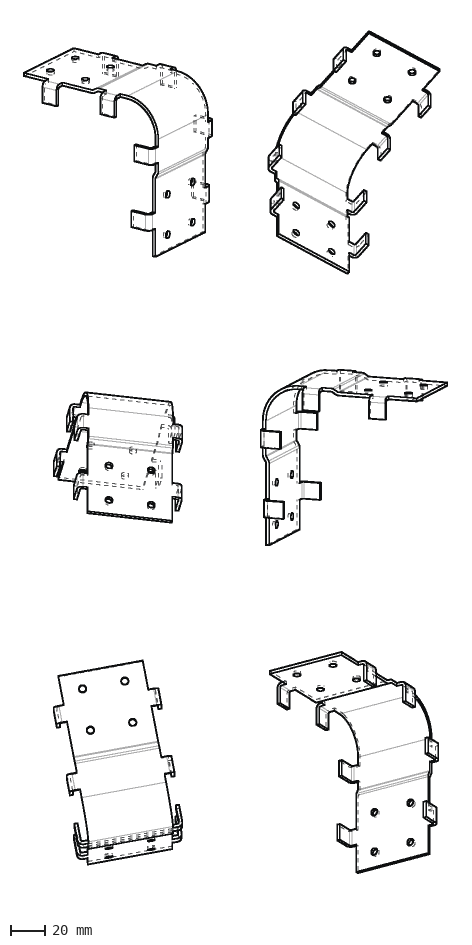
import cadquery as cq
import math

OVERALL = 95.83
SHEET = 2.0
PLATE_WIDTH = 50.0
INNER_BEND = 1.0
OUTER_BEND = INNER_BEND + SHEET

CORNER_INNER = 20.0
CORNER_OUTER = CORNER_INNER + SHEET

FLAT_LENGTH = 20.6
JOGGLE_STEP = 2.0
JOGGLE_ANGLE = math.radians(30)

TAB_LENGTH = 10.0
TAB_DEPTH = 13.0
TAB_SPAN = 62.0

HOLE_DIAMETER = 4.2
HOLE_SPACING = 25.0
HOLE_END_MARGIN = 10.0

LEG_END_X = CORNER_OUTER - OVERALL
LOWER_TOP = CORNER_OUTER - JOGGLE_STEP
PATTERN_X = LEG_END_X + HOLE_END_MARGIN + HOLE_SPACING / 2
UPPER_TAB_X = -10.0


def leg_plate():
    """Joggled sheet running from the corner bend toward -X."""
    bends_run = (INNER_BEND + OUTER_BEND) * math.sin(JOGGLE_ANGLE)
    bends_drop = (INNER_BEND + OUTER_BEND) * (1 - math.cos(JOGGLE_ANGLE))
    ramp_run = (JOGGLE_STEP - bends_drop) / math.tan(JOGGLE_ANGLE)
    joggle_start = -FLAT_LENGTH
    joggle_end = joggle_start - bends_run - ramp_run

    def after_upper_bend(radius, face_z):
        return (
            joggle_start - radius * math.sin(JOGGLE_ANGLE),
            face_z - radius * (1 - math.cos(JOGGLE_ANGLE)),
        )

    def before_lower_bend(radius, face_z):
        return (
            joggle_end + radius * math.sin(JOGGLE_ANGLE),
            face_z + radius * (1 - math.cos(JOGGLE_ANGLE)),
        )

    lower_bottom = LOWER_TOP - SHEET
    return (
        cq.Workplane("XZ")
        .moveTo(0, CORNER_OUTER)
        .lineTo(joggle_start, CORNER_OUTER)
        .tangentArcPoint(after_upper_bend(OUTER_BEND, CORNER_OUTER), relative=False)
        .lineTo(*before_lower_bend(INNER_BEND, LOWER_TOP))
        .tangentArcPoint((joggle_end, LOWER_TOP), relative=False)
        .lineTo(LEG_END_X, LOWER_TOP)
        .lineTo(LEG_END_X, lower_bottom)
        .lineTo(joggle_end, lower_bottom)
        .tangentArcPoint(before_lower_bend(OUTER_BEND, lower_bottom), relative=False)
        .lineTo(*after_upper_bend(INNER_BEND, CORNER_INNER))
        .tangentArcPoint((joggle_start, CORNER_INNER), relative=False)
        .lineTo(0, CORNER_INNER)
        .close()
        .extrude(PLATE_WIDTH / 2, both=True)
    )


def tab_pair(center_x, top_z):
    """Channel across the plate whose two flanges are a pair of opposite tabs."""
    standing_centered = (True, True, False)
    channel = (
        cq.Workplane("XY")
        .box(TAB_LENGTH, TAB_SPAN, TAB_DEPTH, centered=standing_centered)
        .edges("|X and >Z")
        .fillet(OUTER_BEND)
    )
    hollow = (
        cq.Workplane("XY")
        .box(TAB_LENGTH, TAB_SPAN - 2 * SHEET, TAB_DEPTH - SHEET, centered=standing_centered)
        .edges("|X and >Z")
        .fillet(INNER_BEND)
    )
    return channel.cut(hollow).translate((center_x, 0, top_z - TAB_DEPTH))


def screw_holes():
    return (
        cq.Workplane("XY", origin=(PATTERN_X, 0, LOWER_TOP))
        .rarray(HOLE_SPACING, HOLE_SPACING, 2, 2)
        .circle(HOLE_DIAMETER / 2)
        .extrude(-SHEET)
    )


def leg():
    body = leg_plate()
    body = body.union(tab_pair(UPPER_TAB_X, CORNER_OUTER))
    body = body.union(tab_pair(PATTERN_X, LOWER_TOP))
    return body.cut(screw_holes())


def corner_bend():
    """Quarter ring joining the two legs."""
    diagonal = math.sqrt(0.5)
    return (
        cq.Workplane("XZ")
        .moveTo(0, CORNER_OUTER)
        .threePointArc((CORNER_OUTER * diagonal, CORNER_OUTER * diagonal), (CORNER_OUTER, 0))
        .lineTo(CORNER_INNER, 0)
        .threePointArc((CORNER_INNER * diagonal, CORNER_INNER * diagonal), (0, CORNER_INNER))
        .close()
        .extrude(PLATE_WIDTH / 2, both=True)
    )


top_leg = leg()
side_leg = top_leg.mirror(cq.Vector(1, 0, -1))
result = corner_bend().union(top_leg).union(side_leg)